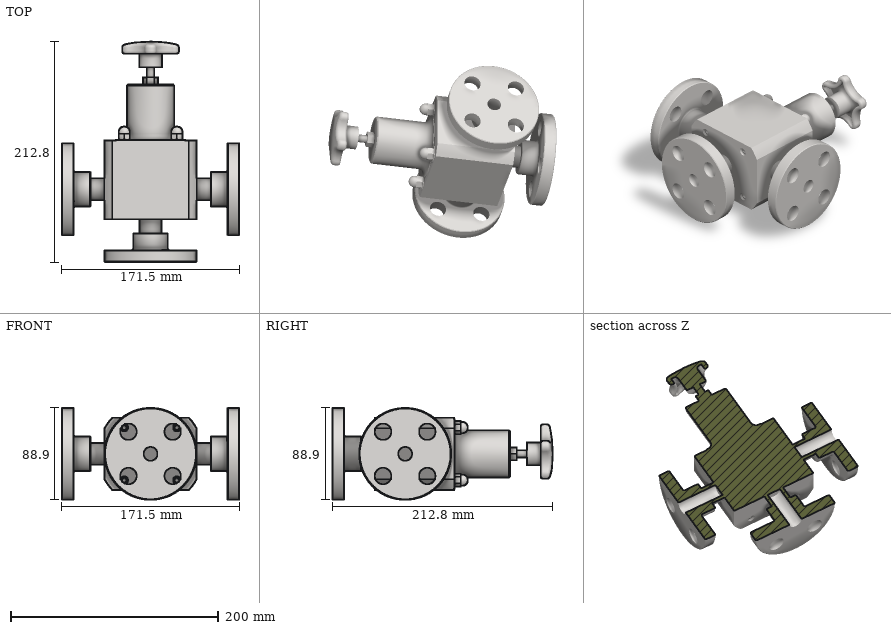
import cadquery as cq
import math


BODY_WIDTH = 88.9
BODY_LENGTH = 76.2
BODY_HEIGHT = 69.85
BODY_ROUND_DIAMETER = 101.6
BODY_FRONT_Y = -29.1
BODY_REAR_Y = BODY_FRONT_Y + BODY_LENGTH

PORT_LENGTH = 41.275
PIPE_DIAMETER = 21.34
BORE_DIAMETER = 13.36
FLANGE_DIAMETER = 88.9
FLANGE_THICKNESS = 11.7
FLANGE_EDGE_CHAMFER = 0.7
FLANGE_HUB_DIAMETER = 33.54
FLANGE_HUB_LENGTH = 16.2
FLANGE_HUB_CHAMFER = 0.6
FLANGE_HUB_ROOT_ROUND = 1.3
BOLT_HOLE_DIAMETER = 15.88
BOLT_CIRCLE_DIAMETER = 60.33
BOLT_COUNT = 4

BONNET_DIAMETER = 45.72
BONNET_LENGTH = 54.1
BONNET_CHAMFER = 1.2
BONNET_FOOT_DIAMETER = 60.96
BONNET_FOOT_THICKNESS = 0.64
BONNET_FLARE_RADIUS = 5.7

STUD_OFFSET = 25.4
STUD_HOLE_DIAMETER = 7.44
STUD_RECESS = 2.5
SOCKET_ACROSS_FLATS = 4.45
SOCKET_DEPTH = 1.0
SOCKET_CONE_HEIGHT = 1.3
WASHER_DIAMETER = 16.0
WASHER_THICKNESS = 0.64
NUT_ACROSS_FLATS = 11.0
NUT_HEIGHT = 5.8
NUT_CHAMFER = 0.5
DOME_DIAMETER = 11.0
DOME_COLLAR_HEIGHT = 1.5

STEM_DIAMETER = 7.44
LOCK_NUT_ACROSS_FLATS = 12.7
LOCK_NUT_HEIGHT = 6.6

OVERALL_LENGTH = 212.84
WHEEL_TOP_Y = BODY_FRONT_Y - PORT_LENGTH + OVERALL_LENGTH
WHEEL_THICKNESS = 11.9
WHEEL_DOME_RADIUS = 118.0
WHEEL_WALL = 3.9
WHEEL_WEB = 5.5
WHEEL_BOTTOM_ROUND = 2.6
WHEEL_TOP_ROUND = 3.2
WHEEL_LIP_ROUND = 1.2
WHEEL_HUB_ROOT_ROUND = 3.4
WHEEL_HUB_DIAMETER = 22.1
WHEEL_HUB_LENGTH = 13.1
LOBE_COUNT = 5
LOBE_RADIUS = 5.5
LOBE_CENTRE_RADIUS = 23.1
VALLEY_RADIUS = 19.0

BONNET_TOP_Y = BODY_REAR_Y + BONNET_LENGTH
WHEEL_BOTTOM_Y = WHEEL_TOP_Y - WHEEL_THICKNESS
WHEEL_HUB_Y = WHEEL_BOTTOM_Y - WHEEL_HUB_LENGTH
HEX_SIDES = 6
HEX_CORNER_RATIO = 1 / math.cos(math.pi / HEX_SIDES)


def plane_at(y):
    """Sketch plane facing +Y at height y, with local x along +Z and local y along +X."""
    return cq.Workplane(cq.Plane(origin=(0, y, 0), xDir=(0, 0, 1), normal=(0, 1, 0)))


def rod(diameter, start_y, length):
    return plane_at(start_y).circle(diameter / 2).extrude(length)


def around_y(profile):
    """Revolve a closed profile, drawn with x as radius and y as height, about the Y axis."""
    return profile.close().revolve(360, (0, 0, 0), (0, 1, 0))


def polar(radius, angle):
    return (radius * math.cos(angle), radius * math.sin(angle))


def make_body():
    mid_y = (BODY_FRONT_Y + BODY_REAR_Y) / 2
    block = cq.Workplane("XY").box(BODY_WIDTH, BODY_LENGTH, BODY_HEIGHT).translate((0, mid_y, 0))
    return block.intersect(rod(BODY_ROUND_DIAMETER, BODY_FRONT_Y, BODY_LENGTH))


def make_port():
    """Flanged pipe with a blind bore, seated on the plane Y = 0 and pointing along -Y."""
    flange_back_y = FLANGE_THICKNESS - PORT_LENGTH
    hub_radius = FLANGE_HUB_DIAMETER / 2
    root_round = FLANGE_HUB_ROOT_ROUND
    flange = rod(FLANGE_DIAMETER, -PORT_LENGTH, FLANGE_THICKNESS).edges().chamfer(FLANGE_EDGE_CHAMFER)
    hub = rod(FLANGE_HUB_DIAMETER, flange_back_y, FLANGE_HUB_LENGTH).faces(">Y").chamfer(FLANGE_HUB_CHAMFER)
    root = around_y(
        cq.Workplane("XY")
        .moveTo(0, flange_back_y)
        .lineTo(hub_radius + root_round, flange_back_y)
        .radiusArc((hub_radius, flange_back_y + root_round), root_round)
        .lineTo(0, flange_back_y + root_round)
    )
    pipe = rod(PIPE_DIAMETER, -PORT_LENGTH, PORT_LENGTH)
    bolt_holes = (
        plane_at(-PORT_LENGTH)
        .polarArray(BOLT_CIRCLE_DIAMETER / 2, 180 / BOLT_COUNT, 360, BOLT_COUNT)
        .circle(BOLT_HOLE_DIAMETER / 2)
        .extrude(FLANGE_THICKNESS)
    )
    bore = rod(BORE_DIAMETER, -PORT_LENGTH, PORT_LENGTH)
    return flange.union(hub).union(root).union(pipe).cut(bolt_holes).cut(bore)


def make_bonnet():
    radius = BONNET_DIAMETER / 2
    foot_radius = BONNET_FOOT_DIAMETER / 2
    foot_y = BODY_REAR_Y + BONNET_FOOT_THICKNESS
    return around_y(
        cq.Workplane("XY")
        .moveTo(0, BODY_REAR_Y)
        .lineTo(foot_radius, BODY_REAR_Y)
        .lineTo(foot_radius, foot_y)
        .lineTo(radius + BONNET_FLARE_RADIUS, foot_y)
        .radiusArc((radius, foot_y + BONNET_FLARE_RADIUS), BONNET_FLARE_RADIUS)
        .lineTo(radius, BONNET_TOP_Y - BONNET_CHAMFER)
        .lineTo(radius - BONNET_CHAMFER, BONNET_TOP_Y)
        .lineTo(0, BONNET_TOP_Y)
    )


def make_dome_nut():
    """Washer and dome nut, seated on the plane Y = 0 around the Y axis."""
    corner_radius = NUT_ACROSS_FLATS * HEX_CORNER_RATIO / 2
    hex_top_y = WASHER_THICKNESS + NUT_HEIGHT
    collar_top_y = hex_top_y + DOME_COLLAR_HEIGHT
    washer = rod(WASHER_DIAMETER, 0, WASHER_THICKNESS)
    hexagon = plane_at(WASHER_THICKNESS).polygon(HEX_SIDES, 2 * corner_radius).extrude(NUT_HEIGHT)
    chamfered_round = rod(2 * corner_radius, WASHER_THICKNESS, NUT_HEIGHT).faces("<Y").chamfer(NUT_CHAMFER)
    collar = rod(DOME_DIAMETER, hex_top_y, DOME_COLLAR_HEIGHT)
    dome = cq.Workplane("XY").sphere(DOME_DIAMETER / 2).translate((0, collar_top_y, 0))
    return washer.union(hexagon.intersect(chamfered_round)).union(collar).union(dome)


def make_stud_recess():
    """Cutter for a recessed stud end with a hex socket and conical bottom, opening at Y = 0."""
    socket_bottom_y = STUD_RECESS + SOCKET_DEPTH
    socket_radius = SOCKET_ACROSS_FLATS / 2
    hole = rod(STUD_HOLE_DIAMETER, 0, STUD_RECESS)
    socket = plane_at(0).polygon(HEX_SIDES, SOCKET_ACROSS_FLATS * HEX_CORNER_RATIO).extrude(socket_bottom_y)
    cone = around_y(
        cq.Workplane("XY")
        .moveTo(0, socket_bottom_y)
        .lineTo(socket_radius, socket_bottom_y)
        .lineTo(0, socket_bottom_y + SOCKET_CONE_HEIGHT)
    )
    return hole.union(socket).union(cone)


def make_stem():
    stem = rod(STEM_DIAMETER, BONNET_TOP_Y, WHEEL_HUB_Y - BONNET_TOP_Y)
    lock_nut = (
        plane_at(BONNET_TOP_Y)
        .transformed(rotate=(0, 0, 90))
        .polygon(HEX_SIDES, LOCK_NUT_ACROSS_FLATS * HEX_CORNER_RATIO)
        .extrude(LOCK_NUT_HEIGHT)
    )
    return stem.union(lock_nut)


def lobed_outline(y, inset):
    """Five round lobes joined by tangent hollow arcs, offset inward by inset."""
    lobe_radius = LOBE_RADIUS - inset
    valley_radius = VALLEY_RADIUS - inset
    half_step = math.pi / LOBE_COUNT
    reach = valley_radius - lobe_radius
    arc_centre_radius = (LOBE_CENTRE_RADIUS**2 - reach**2) / (
        2 * (LOBE_CENTRE_RADIUS * math.cos(half_step) - reach)
    )
    centre_distance = arc_centre_radius - reach
    share = lobe_radius / centre_distance

    def tangent_point(lobe_angle, valley_angle):
        lobe_x, lobe_y = polar(LOBE_CENTRE_RADIUS, lobe_angle)
        arc_x, arc_y = polar(arc_centre_radius, valley_angle)
        return (lobe_x + share * (arc_x - lobe_x), lobe_y + share * (arc_y - lobe_y))

    outline = plane_at(y).moveTo(*tangent_point(0, -half_step))
    for index in range(LOBE_COUNT):
        lobe = 2 * half_step * index
        valley = lobe + half_step
        next_lobe = valley + half_step
        tip = polar(LOBE_CENTRE_RADIUS + lobe_radius, lobe)
        outline = outline.threePointArc(tip, tangent_point(lobe, valley))
        outline = outline.threePointArc(polar(valley_radius, valley), tangent_point(next_lobe, valley))
    return outline.close()


def make_handwheel():
    blank_radius = LOBE_CENTRE_RADIUS + 2 * LOBE_RADIUS
    dome_drop = WHEEL_DOME_RADIUS - math.sqrt(WHEEL_DOME_RADIUS**2 - blank_radius**2)
    domed_blank = around_y(
        cq.Workplane("XY")
        .moveTo(0, WHEEL_BOTTOM_Y)
        .lineTo(blank_radius, WHEEL_BOTTOM_Y)
        .lineTo(blank_radius, WHEEL_TOP_Y - dome_drop)
        .radiusArc((0, WHEEL_TOP_Y), -WHEEL_DOME_RADIUS)
    )
    wheel = lobed_outline(WHEEL_BOTTOM_Y, 0).extrude(WHEEL_THICKNESS).intersect(domed_blank)
    wheel = wheel.faces("<Y").edges().fillet(WHEEL_BOTTOM_ROUND)
    wheel = wheel.faces("%SPHERE").edges().fillet(WHEEL_TOP_ROUND)
    ceiling_y = WHEEL_TOP_Y - WHEEL_WEB
    hollow = lobed_outline(WHEEL_BOTTOM_Y, WHEEL_WALL).extrude(ceiling_y - WHEEL_BOTTOM_Y)
    wheel = wheel.cut(hollow)
    wheel = wheel.faces("<Y").wires(cq.selectors.LengthNthSelector(0)).edges().fillet(WHEEL_LIP_ROUND)
    hub = rod(WHEEL_HUB_DIAMETER, WHEEL_HUB_Y, ceiling_y - WHEEL_HUB_Y)
    hub_radius = WHEEL_HUB_DIAMETER / 2
    root_round = WHEEL_HUB_ROOT_ROUND
    hub_root = around_y(
        cq.Workplane("XY")
        .moveTo(0, ceiling_y)
        .lineTo(hub_radius + root_round, ceiling_y)
        .radiusArc((hub_radius, ceiling_y - root_round), -root_round)
        .lineTo(0, ceiling_y - root_round)
    )
    return wheel.union(hub).union(hub_root)


port = make_port()
dome_nut = make_dome_nut()
stud_recess = make_stud_recess()

result = make_body().union(make_bonnet()).union(make_stem()).union(make_handwheel())

result = result.union(port.translate((0, BODY_FRONT_Y, 0)))
for side in (-1, 1):
    side_port = port.rotate((0, 0, 0), (0, 0, 1), side * 90)
    result = result.union(side_port.translate((side * BODY_WIDTH / 2, 0, 0)))

for x in (-STUD_OFFSET, STUD_OFFSET):
    for z in (-STUD_OFFSET, STUD_OFFSET):
        result = result.union(dome_nut.translate((x, BODY_REAR_Y, z)))
        result = result.cut(stud_recess.translate((x, BODY_FRONT_Y, z)))